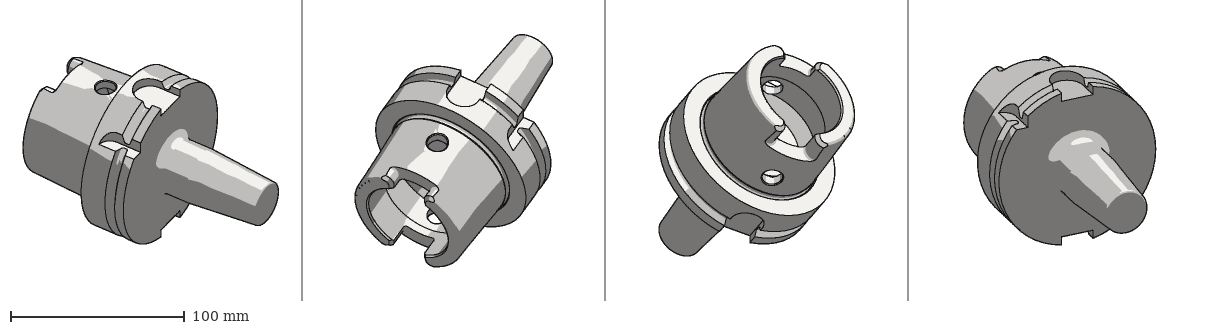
import cadquery as cq
length = 145.0

shank_length = 50.0
shank_tip_radius = 35.7
shank_base_radius = 38.0
shank_tip_fillet = 1.9

relief_start = 47.3
relief_lead = 0.9
relief_land = 0.9
relief_radius = 37.5
relief_outer_radius = 39.3
relief_face_depth = 0.6

flange_radius = 50.0
flange_width = 29.0
flange_end = shank_length + flange_width
groove_centre = 69.7
groove_radius = 46.1
groove_top_width = 6.7
groove_bottom_width = 3.2
groove_bottom_fillet = 1.2

nose_radius = 17.0
nose_root_fillet = 5.8
nose_taper_start = 100.5
nose_end_radius = 13.5
nose_end_fillet = 1.2

bore_radius = 26.5
bore_chamfer_radial = 0.7
bore_chamfer_axial = 1.3
bore_land_end = 20.0
undercut_radius = 31.6
undercut_end = 40.0
bore_floor_radius = 24.6
bore_floor = undercut_end + undercut_radius - bore_floor_radius

centre_hole_radius = 11.2
centre_hole_depth = 14.5
counterbore_radius = 12.0
counterbore_depth = 2.9
counterbore_chamfer = 0.5

cross_hole_radius = 6.0
cross_hole_chamfer = 0.6
cross_hole_x = 34.5

drive_half_width = 10.0
drive_corner_height = 32.2
drive_corner_radius = 5.4
drive_top_depth = 9.5
drive_bottom_depth = 14.8
drive_edge_chamfer = 2.2
drive_floor_fillet = 1.9

rim_slot_start = 55.0
rim_slot_radius = 10.0
rim_slot_floor = 43.8

notch_offset = 31.6
notch_end_radius = 8.0
notch_start = rim_slot_start

clearance = 2.9
cutter_reach = flange_radius + clearance

drive_cutter_base = 20.3


def revolve_about_x(profile):
    return profile.close().revolve(360, (0, 0, 0), (1, 0, 0))


def outer_body():
    """Shank, relief, flange and nose as one revolved solid."""
    relief_floor = relief_start + relief_lead
    relief_bevel_radius = relief_outer_radius - relief_face_depth
    profile = (
        cq.Workplane("XY")
        .lineTo(0, shank_tip_radius)
        .lineTo(relief_start, shank_base_radius)
        .lineTo(relief_floor, relief_radius)
        .lineTo(relief_floor + relief_land, relief_radius)
        .tangentArcPoint((shank_length + relief_face_depth, relief_bevel_radius), relative=False)
        .lineTo(shank_length, relief_outer_radius)
        .lineTo(shank_length, flange_radius)
        .lineTo(groove_centre - groove_top_width / 2, flange_radius)
        .lineTo(groove_centre - groove_bottom_width / 2, groove_radius)
        .lineTo(groove_centre + groove_bottom_width / 2, groove_radius)
        .lineTo(groove_centre + groove_top_width / 2, flange_radius)
        .lineTo(flange_end, flange_radius)
        .lineTo(flange_end, nose_radius + nose_root_fillet)
        .radiusArc((flange_end + nose_root_fillet, nose_radius), -nose_root_fillet)
        .lineTo(nose_taper_start, nose_radius)
        .lineTo(length, nose_end_radius)
        .lineTo(length, 0)
    )
    body = revolve_about_x(profile)
    groove_floor = cq.selectors.BoxSelector(
        (groove_centre - groove_bottom_width, -cutter_reach, -cutter_reach),
        (groove_centre + groove_bottom_width, cutter_reach, cutter_reach),
    )
    body = body.edges(groove_floor).edges(cq.selectors.RadiusNthSelector(0)).fillet(groove_bottom_fillet)
    body = body.faces("<X").edges().fillet(shank_tip_fillet)
    return body.faces(">X").edges().fillet(nose_end_fillet)


def bore():
    """Chamfered entry, land, undercut, floor cone and the blind centre hole."""
    counterbore_end = bore_floor + counterbore_depth
    profile = (
        cq.Workplane("XY")
        .lineTo(0, bore_radius + bore_chamfer_radial)
        .lineTo(bore_chamfer_axial, bore_radius)
        .lineTo(bore_land_end, bore_radius)
        .lineTo(bore_land_end, undercut_radius)
        .lineTo(undercut_end, undercut_radius)
        .lineTo(bore_floor, bore_floor_radius)
        .lineTo(bore_floor, counterbore_radius + counterbore_chamfer)
        .lineTo(bore_floor + counterbore_chamfer, counterbore_radius)
        .lineTo(counterbore_end, counterbore_radius)
        .lineTo(counterbore_end + counterbore_radius - centre_hole_radius, centre_hole_radius)
        .lineTo(bore_floor + centre_hole_depth, centre_hole_radius)
        .lineTo(bore_floor + centre_hole_depth, 0)
    )
    return revolve_about_x(profile)


def drive_outline(plane, grow):
    """Slot section in YZ, flared by a quarter round on each side and grown outwards."""
    half = drive_half_width + grow
    radius = drive_corner_radius - grow
    shoulder = drive_corner_height - grow
    return (
        plane.moveTo(-half, drive_cutter_base)
        .lineTo(half, drive_cutter_base)
        .lineTo(half, shoulder - radius)
        .radiusArc((half + radius, shoulder), radius)
        .lineTo(cutter_reach, shoulder)
        .lineTo(cutter_reach, cutter_reach)
        .lineTo(-cutter_reach, cutter_reach)
        .lineTo(-cutter_reach, shoulder)
        .lineTo(-half - radius, shoulder)
        .radiusArc((-half, shoulder - radius), radius)
        .close()
    )


def drive_slot(depth):
    """Cutter for the +Z drive slot, with a rounded floor edge and a flared mouth."""
    slot = drive_outline(cq.Workplane("YZ"), 0).extrude(depth)
    slot = slot.faces(">X").edges().fillet(drive_floor_fillet)
    mouth = drive_outline(cq.Workplane("YZ"), drive_edge_chamfer)
    mouth = drive_outline(mouth.workplane(offset=drive_edge_chamfer), 0).loft(ruled=True)
    return slot.union(mouth)


def drill_cross_hole(body):
    """Drill through along Z and chamfer both mouths on the tapered outside."""
    drill = (
        cq.Workplane("XY", origin=(cross_hole_x, 0, 0))
        .circle(cross_hole_radius)
        .extrude(cutter_reach, both=True)
    )
    body = body.cut(drill)
    reach = cross_hole_radius + clearance
    for outer, inner in ((cutter_reach, undercut_radius), (-cutter_reach, -undercut_radius)):
        mouth = cq.selectors.BoxSelector(
            (cross_hole_x - reach, -reach, inner),
            (cross_hole_x + reach, reach, outer),
        )
        body = body.edges(mouth).chamfer(cross_hole_chamfer)
    return body


def rim_slot():
    """Cutter for the +Z rim slot: round inner end, open at the nose side."""
    height = cutter_reach - rim_slot_floor
    centre_x = rim_slot_start + rim_slot_radius
    run = flange_end + clearance - centre_x
    plane = cq.Workplane("XY", origin=(centre_x, 0, rim_slot_floor))
    round_end = plane.circle(rim_slot_radius).extrude(height)
    channel = plane.rect(run, 2 * rim_slot_radius, centered=(False, True)).extrude(height)
    return round_end.union(channel)


def corner_notch():
    """Cutter with a flat floor, a flat side wall and a quarter-round inner end."""
    outline = (
        cq.Workplane("XY", origin=(0, 0, notch_offset))
        .moveTo(notch_start, -cutter_reach)
        .lineTo(notch_start, -notch_offset - notch_end_radius)
        .radiusArc((notch_start + notch_end_radius, -notch_offset), notch_end_radius)
        .lineTo(flange_end + clearance, -notch_offset)
        .lineTo(flange_end + clearance, -cutter_reach)
        .close()
    )
    return outline.extrude(cutter_reach - notch_offset)


def to_bottom(cutter):
    return cutter.rotate((0, 0, 0), (1, 0, 0), 180)


result = outer_body().cut(bore())
result = result.cut(drive_slot(drive_top_depth))
result = result.cut(to_bottom(drive_slot(drive_bottom_depth)))
result = drill_cross_hole(result)
result = result.cut(rim_slot())
result = result.cut(to_bottom(rim_slot()))
result = result.cut(corner_notch())